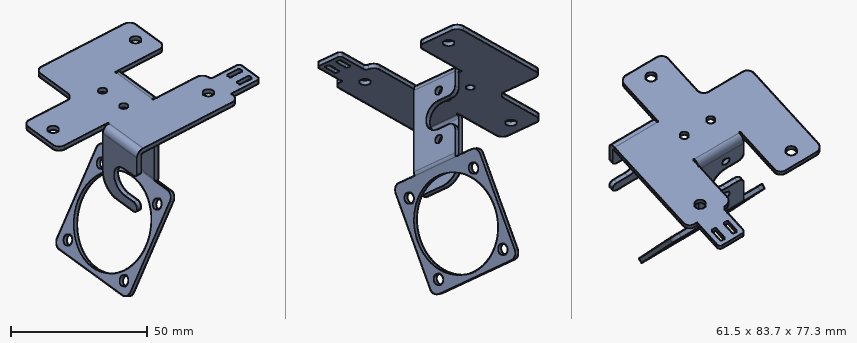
import cadquery as cq
import math

THICKNESS = 2.0
BEND_INNER = 1.0
BEND_OUTER = BEND_INNER + THICKNESS
RELIEF = 0.5
CORNER = 3.0

PLATE_WIDTH = 61.5
PLATE_LENGTH = 83.7
ARM_WIDTH = 20.0
ARM_END_Y = 69.8
FRONT_EDGE_Y = 24.0
NOTCH_Y = 45.7
RIGHT_ARM_X = PLATE_WIDTH - ARM_WIDTH
FRONT_TAB_X = RIGHT_ARM_X - ARM_WIDTH
MOUNT_HOLE = 4.3
SMALL_HOLE = 3.35
MOUNT_HOLE_INSET = 6.0
SMALL_HOLE_PITCH = 12.05

TIE_TAB_WIDTH = 11.7
TIE_TAB_CORNER = 1.3
TIE_SLOT_WIDTH = 2.0
TIE_SLOT_LENGTH = 6.0
TIE_SLOT_PITCH = 5.5
TIE_SLOT_CORNER = 0.4
TIE_SLOT_END_GAP = 1.9

CUTOUT_Z = -18.5
CUTOUT_RADIUS = 6.1

FRONT_FLANGE_X = RIGHT_ARM_X + RELIEF
FRONT_FLANGE_DEPTH = 29.05
FRONT_CUTOUT_X = 54.6
FRONT_HEEL_RADIUS = 8.0
FINGER_CORNER = 2.0

REAR_FLANGE_X0 = ARM_WIDTH + RELIEF
REAR_FLANGE_X1 = RIGHT_ARM_X - RELIEF
REAR_CUTOUT_X = 28.7
REAR_HOLE_PITCH = 20.75
LOWER_BEND_Z = -37.9

PANEL_TILT = 30.0
PANEL_WIDTH = 42.0
PANEL_LENGTH = 43.8
FAN_OPENING = 38.0
FAN_HOLE_PITCH = 32.0


def box_between(x0, x1, y0, y1, z0, z1):
    return cq.Workplane("XY").box(x1 - x0, y1 - y0, z1 - z0, centered=False).translate((x0, y0, z0))


def round_corners(body, points, radius):
    """Fillet the edge whose middle lies nearest to each point."""
    for point in points:
        body = body.edges(cq.selectors.NearestToPointSelector(point)).fillet(radius)
    return body


def bend(x0, x1, axis_y, axis_z, start, end):
    """Curved sheet about an X-directed axis, between two angles from +Y toward +Z."""
    def at(radius, degrees):
        angle = math.radians(degrees)
        return (axis_y + radius * math.cos(angle), axis_z + radius * math.sin(angle))

    middle = (start + end) / 2
    return (
        cq.Workplane("YZ", origin=(x0, 0, 0))
        .moveTo(*at(BEND_OUTER, start))
        .threePointArc(at(BEND_OUTER, middle), at(BEND_OUTER, end))
        .lineTo(*at(BEND_INNER, end))
        .threePointArc(at(BEND_INNER, middle), at(BEND_INNER, start))
        .close()
        .extrude(x1 - x0)
    )


def top_plate():
    tie_x = PLATE_WIDTH - ARM_WIDTH / 2
    tie_x0 = tie_x - TIE_TAB_WIDTH / 2
    tie_x1 = tie_x + TIE_TAB_WIDTH / 2
    outline = [
        (FRONT_TAB_X, 0),
        (RIGHT_ARM_X, 0),
        (RIGHT_ARM_X, FRONT_EDGE_Y),
        (PLATE_WIDTH, FRONT_EDGE_Y),
        (PLATE_WIDTH, ARM_END_Y),
        (tie_x1, ARM_END_Y),
        (tie_x1, PLATE_LENGTH),
        (tie_x0, PLATE_LENGTH),
        (tie_x0, ARM_END_Y),
        (RIGHT_ARM_X, ARM_END_Y),
        (RIGHT_ARM_X, NOTCH_Y),
        (ARM_WIDTH, NOTCH_Y),
        (ARM_WIDTH, ARM_END_Y),
        (0, ARM_END_Y),
        (0, FRONT_EDGE_Y),
        (FRONT_TAB_X, FRONT_EDGE_Y),
    ]
    plate = cq.Workplane("XY").polyline(outline).close().extrude(-THICKNESS)

    def upright_edges(corners):
        return [(x, y, -THICKNESS / 2) for x, y in corners]

    wide_corners = [
        (FRONT_TAB_X, 0),
        (RIGHT_ARM_X, 0),
        (PLATE_WIDTH, ARM_END_Y),
        (RIGHT_ARM_X, ARM_END_Y),
        (ARM_WIDTH, ARM_END_Y),
        (0, ARM_END_Y),
        (0, FRONT_EDGE_Y),
        (FRONT_TAB_X, FRONT_EDGE_Y),
    ]
    tie_corners = [(tie_x0, PLATE_LENGTH), (tie_x1, PLATE_LENGTH), (tie_x0, ARM_END_Y)]
    plate = round_corners(plate, upright_edges(wide_corners), CORNER)
    plate = round_corners(plate, upright_edges(tie_corners), TIE_TAB_CORNER)

    tab_x = (FRONT_TAB_X + RIGHT_ARM_X) / 2
    arm_hole_y = ARM_END_Y - MOUNT_HOLE_INSET
    mount_holes = [(tab_x, MOUNT_HOLE_INSET), (ARM_WIDTH / 2, arm_hole_y), (tie_x, arm_hole_y)]
    small_hole_y = (FRONT_EDGE_Y + NOTCH_Y) / 2
    small_holes = [(tab_x + side * SMALL_HOLE_PITCH / 2, small_hole_y) for side in (-1, 1)]
    for centres, diameter in ((mount_holes, MOUNT_HOLE), (small_holes, SMALL_HOLE)):
        plate = plate.cut(cq.Workplane("XY").pushPoints(centres).circle(diameter / 2).extrude(-THICKNESS))

    slot_y = PLATE_LENGTH - TIE_SLOT_END_GAP - TIE_SLOT_LENGTH / 2
    slots = (
        cq.Workplane("XY")
        .pushPoints([(tie_x + side * TIE_SLOT_PITCH / 2, slot_y) for side in (-1, 1)])
        .rect(TIE_SLOT_WIDTH, TIE_SLOT_LENGTH)
        .extrude(-THICKNESS)
        .edges("|Z")
        .fillet(TIE_SLOT_CORNER)
    )
    return plate.cut(slots)


def cutout(centre_x, edge_x, y0):
    """U-shaped cutter, round at centre_x and open through the flange edge at edge_x."""
    round_end = (
        cq.Workplane("XZ", origin=(centre_x, y0, CUTOUT_Z)).circle(CUTOUT_RADIUS).extrude(-THICKNESS)
    )
    x0, x1 = sorted((centre_x, edge_x))
    z0, z1 = CUTOUT_Z - CUTOUT_RADIUS, CUTOUT_Z + CUTOUT_RADIUS
    return round_end.union(box_between(x0, x1, y0, y0 + THICKNESS, z0, z1))


def front_flange():
    y0 = FRONT_EDGE_Y - BEND_OUTER
    mid_y = y0 + THICKNESS / 2
    flange = box_between(
        FRONT_FLANGE_X, PLATE_WIDTH, y0, y0 + THICKNESS, -FRONT_FLANGE_DEPTH, -BEND_OUTER
    )
    flange = flange.cut(cutout(FRONT_CUTOUT_X, PLATE_WIDTH, y0))
    flange = round_corners(flange, [(FRONT_FLANGE_X, mid_y, -FRONT_FLANGE_DEPTH)], FRONT_HEEL_RADIUS)
    finger_levels = (CUTOUT_Z + CUTOUT_RADIUS, CUTOUT_Z - CUTOUT_RADIUS, -FRONT_FLANGE_DEPTH)
    flange = round_corners(flange, [(PLATE_WIDTH, mid_y, z) for z in finger_levels], FINGER_CORNER)
    return flange.union(bend(FRONT_FLANGE_X, PLATE_WIDTH, FRONT_EDGE_Y, -BEND_OUTER, 90, 180))


def rear_flange():
    y0 = NOTCH_Y + BEND_INNER
    mid_y = y0 + THICKNESS / 2
    flange = box_between(
        REAR_FLANGE_X0, REAR_FLANGE_X1, y0, y0 + THICKNESS, LOWER_BEND_Z, -BEND_OUTER
    )
    flange = flange.cut(cutout(REAR_CUTOUT_X, REAR_FLANGE_X0, y0))
    mouth = [(REAR_FLANGE_X0, mid_y, CUTOUT_Z + side * CUTOUT_RADIUS) for side in (-1, 1)]
    flange = round_corners(flange, mouth, CORNER)
    holes = (
        cq.Workplane("XZ", origin=(REAR_CUTOUT_X, y0, CUTOUT_Z))
        .pushPoints([(0, -REAR_HOLE_PITCH / 2), (0, REAR_HOLE_PITCH / 2)])
        .circle(SMALL_HOLE / 2)
        .extrude(-THICKNESS)
    )
    upper_bend = bend(REAR_FLANGE_X0, REAR_FLANGE_X1, NOTCH_Y, -BEND_OUTER, 90, 0)
    lower_bend = bend(REAR_FLANGE_X0, REAR_FLANGE_X1, NOTCH_Y, LOWER_BEND_Z, 0, -PANEL_TILT)
    return flange.cut(holes).union(upper_bend).union(lower_bend)


def fan_panel():
    """Panel built hanging straight down, then swung about the lower bend axis."""
    centre_x = (REAR_FLANGE_X0 + REAR_FLANGE_X1) / 2
    y0 = NOTCH_Y + BEND_INNER
    panel = (
        box_between(
            centre_x - PANEL_WIDTH / 2, centre_x + PANEL_WIDTH / 2,
            y0, y0 + THICKNESS,
            LOWER_BEND_Z - PANEL_LENGTH, LOWER_BEND_Z,
        )
        .edges("|Y")
        .fillet(CORNER)
    )
    fan_z = LOWER_BEND_Z - PANEL_LENGTH + PANEL_WIDTH / 2
    fan_face = cq.Workplane("XZ", origin=(centre_x, y0, fan_z))
    opening = fan_face.circle(FAN_OPENING / 2).extrude(-THICKNESS)
    screw_holes = (
        fan_face.rect(FAN_HOLE_PITCH, FAN_HOLE_PITCH, forConstruction=True)
        .vertices()
        .circle(MOUNT_HOLE / 2)
        .extrude(-THICKNESS)
    )
    panel = panel.cut(opening).cut(screw_holes)
    return panel.rotate((0, NOTCH_Y, LOWER_BEND_Z), (1, NOTCH_Y, LOWER_BEND_Z), -PANEL_TILT)


result = top_plate().union(front_flange()).union(rear_flange()).union(fan_panel())